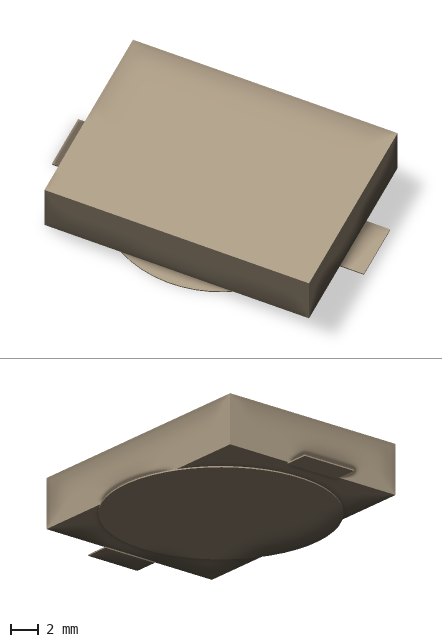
import cadquery as cq

overall_length = 24.9
housing_length = 21.12
housing_width = 15.5
overall_height = 4.1
contact_thickness = 0.1
disc_diameter = 17.8
tab_width = 4.6
tab_length = 2.0

housing_height = overall_height - contact_thickness
tab_center_x = (overall_length - tab_length) / 2


def make_housing():
    """Plain block resting on top of the contact sheet."""
    return (
        cq.Workplane("XY")
        .workplane(offset=contact_thickness)
        .rect(housing_length, housing_width)
        .extrude(housing_height)
    )


def make_contact_disc():
    """Thin round contact centred under the housing."""
    return cq.Workplane("XY").circle(disc_diameter / 2).extrude(contact_thickness)


def make_tab(center_x):
    """Thin rectangular terminal tab at one end, its inner edge under the housing."""
    return (
        cq.Workplane("XY")
        .center(center_x, 0)
        .rect(tab_length, tab_width)
        .extrude(contact_thickness)
    )


housing = make_housing()
contact_disc = make_contact_disc()
tabs = [make_tab(side * tab_center_x) for side in (-1, 1)]

result = cq.Compound.makeCompound(
    [housing.val(), contact_disc.val(), *[tab.val() for tab in tabs]]
)